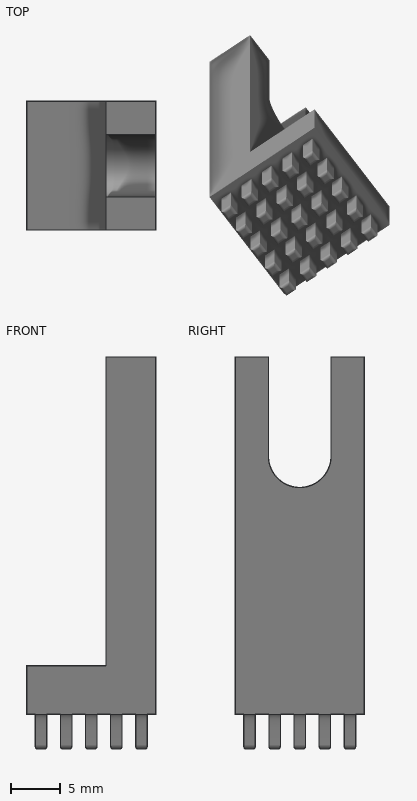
import cadquery as cq

total_height = 39.5
body_width = 13.0

wall_thickness = 5.0
base_height = 4.9

slot_width = 6.3
slot_straight_depth = 10.0

pin_count = 5
pin_pitch = 2.53
pin_width = 1.2
pin_length = 3.5
tip_radius = 0.3

half_width = body_width / 2
body_height = total_height - pin_length
wall_inner_x = half_width - wall_thickness


def make_body():
    """L-shaped body with the base underside at Z = 0 and the wall on the +X side."""
    base = cq.Workplane("XY").box(body_width, body_width, base_height, centered=(True, True, False))
    wall = (
        cq.Workplane("XY")
        .box(wall_thickness, body_width, body_height, centered=(False, True, False))
        .translate((wall_inner_x, 0, 0))
    )
    return base.union(wall)


def make_slot():
    """Round-bottomed slot, open at the top, passing through the wall along X."""
    slot_radius = slot_width / 2
    arc_center_z = body_height - slot_straight_depth
    return (
        cq.Workplane("YZ", origin=(wall_inner_x, 0, 0))
        .moveTo(-slot_radius, body_height)
        .lineTo(-slot_radius, arc_center_z)
        .threePointArc((0, arc_center_z - slot_radius), (slot_radius, arc_center_z))
        .lineTo(slot_radius, body_height)
        .close()
        .extrude(wall_thickness)
    )


def make_pins():
    """Square grid of pins with rounded tips, hanging from the base underside."""
    return (
        cq.Workplane("XY")
        .rarray(pin_pitch, pin_pitch, pin_count, pin_count)
        .rect(pin_width, pin_width)
        .extrude(-pin_length)
        .faces("<Z")
        .edges()
        .fillet(tip_radius)
    )


result = make_body().cut(make_slot()).union(make_pins())